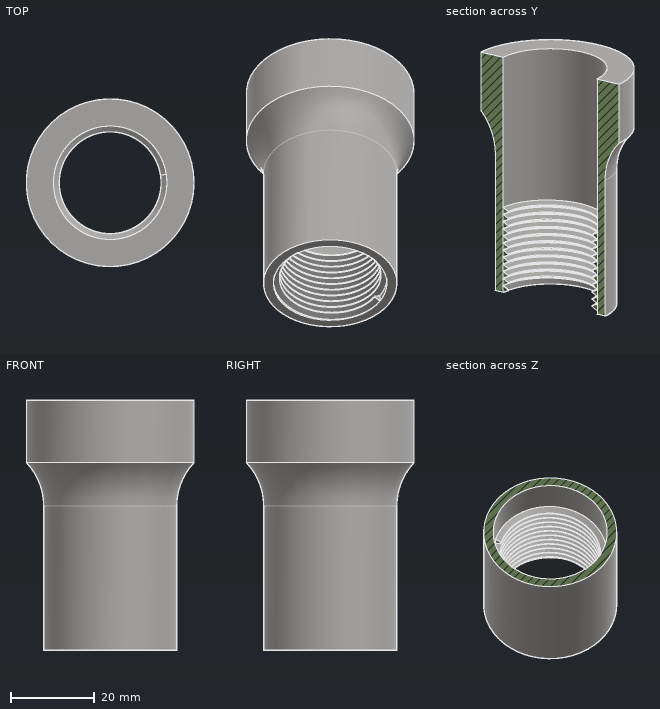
import cadquery as cq
import math

total_height = 60.0
collar_diameter = 40.25
collar_height = 15.0
tube_diameter = 32.0
flare_radius = 15.0
bore_diameter = 27.2

thread_pitch = 25.4 / 14
thread_rise = 20.0
thread_minor_diameter = 24.36
thread_angle = 55.0
thread_root_width = 1.75

collar_radius = collar_diameter / 2
tube_radius = tube_diameter / 2
bore_radius = bore_diameter / 2
collar_bottom = total_height - collar_height

flare_angle = math.acos(1 - (collar_radius - tube_radius) / flare_radius)
flare_bottom = collar_bottom - flare_radius * math.sin(flare_angle)
flare_mid_radius = tube_radius + flare_radius * (1 - math.cos(flare_angle / 2))
flare_mid_level = flare_bottom + flare_radius * math.sin(flare_angle / 2)

thread_minor_radius = thread_minor_diameter / 2
flank_run = (bore_radius - thread_minor_radius) * math.tan(math.radians(thread_angle / 2))


def make_sleeve():
    """Tube flaring out to a collar, with a plain bore right through."""
    profile = (
        cq.Workplane("XZ")
        .moveTo(bore_radius, 0)
        .lineTo(tube_radius, 0)
        .lineTo(tube_radius, flare_bottom)
        .threePointArc((flare_mid_radius, flare_mid_level), (collar_radius, collar_bottom))
        .lineTo(collar_radius, total_height)
        .lineTo(bore_radius, total_height)
        .close()
    )
    return profile.revolve(360, (0, 0, 0), (0, 1, 0))


def make_thread():
    """Right-hand thread ridge winding up the bore wall from the lower end."""
    helix = cq.Wire.makeHelix(thread_pitch, thread_rise, bore_radius)
    ridge = (
        cq.Workplane("XZ")
        .moveTo(bore_radius, 0)
        .lineTo(bore_radius, thread_root_width)
        .lineTo(thread_minor_radius, thread_root_width - flank_run)
        .lineTo(thread_minor_radius, flank_run)
        .close()
    )
    return ridge.sweep(helix, isFrenet=True)


sleeve = make_sleeve()
thread = make_thread()

result = cq.Compound.makeCompound([sleeve.val(), thread.val()])